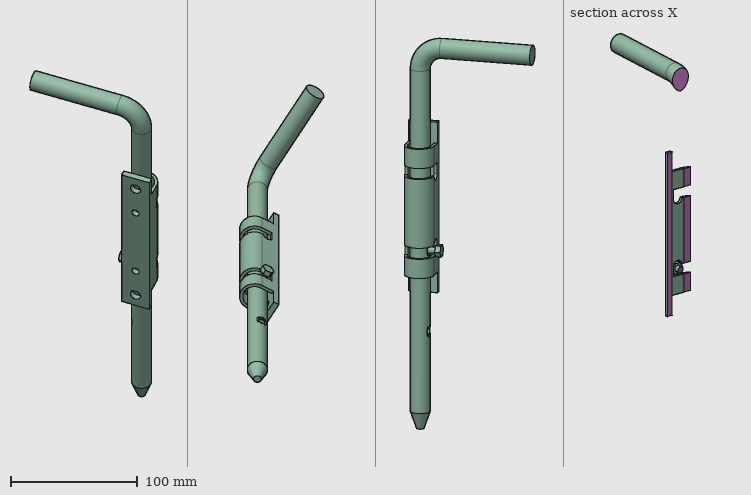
import cadquery as cq
import math


rod_diameter = 16.0
rod_radius = rod_diameter / 2
rod_height = 320.0
handle_end_x = -92.0
bend_radius = 18.0
tip_diameter = 6.0
tip_length = 14.0

screw_diameter = 5.5
spotface_diameter = 9.0
spotface_depth = 1.3
screw_hole_depth = 8.0
screw_z = 146.2
spare_hole_z = 80.0

bracket_width = 23.7
bracket_center_z = 179.2
plate_thickness = 4.8
plate_length = 139.5
plate_front_y = -rod_radius
plate_back_y = plate_front_y - plate_thickness
bracket_depth = 27.2
sleeve_length = 105.5
sleeve_wall = 2.5
arch_radius = bracket_width / 2
arch_center_y = plate_back_y + bracket_depth - arch_radius

mount_hole_diameter = 8.5
mount_hole_spacing = 116.8
small_hole_diameter = 6.0
small_hole_spacing = 64.0

slot_width = 9.0
slot_end_diameter = 8.0
slot_offset = 32.5
slot_center_y = -2.5

head_across_flats = 9.0
head_length = 4.5
head_inner_x = -13.0


def box(x_range, y_range, z_range):
    """Box between the given pairs of coordinates."""
    size = [b - a for a, b in (x_range, y_range, z_range)]
    return cq.Workplane("XY").box(*size, centered=False).translate((x_range[0], y_range[0], z_range[0]))


def x_cylinder(diameter, x_start, x_end, y, z):
    """Cylinder along X."""
    plane = cq.Workplane("YZ", origin=(x_start, y, z))
    return plane.circle(diameter / 2).extrude(x_end - x_start)


def make_rod():
    """Bent rod with a conical tip and two spotfaced blind holes."""
    handle_z = rod_height - rod_radius
    bend_start_z = handle_z - bend_radius
    bend_mid = bend_radius * math.sqrt(0.5)
    path = (
        cq.Workplane("XZ")
        .moveTo(0, tip_length)
        .lineTo(0, bend_start_z)
        .threePointArc((bend_mid - bend_radius, bend_start_z + bend_mid), (-bend_radius, handle_z))
        .lineTo(handle_end_x, handle_z)
    )
    rod = cq.Workplane("XY", origin=(0, 0, tip_length)).circle(rod_radius).sweep(path)
    tip = (
        cq.Workplane("XZ")
        .polyline([(0, 0), (tip_diameter / 2, 0), (rod_radius, tip_length), (0, tip_length)])
        .close()
        .revolve(360, (0, 0, 0), (0, 1, 0))
    )
    rod = rod.union(tip)
    for z in (screw_z, spare_hole_z):
        rod = rod.cut(x_cylinder(spotface_diameter, -rod_radius, spotface_depth - rod_radius, 0, z))
        rod = rod.cut(x_cylinder(screw_diameter, -rod_radius, screw_hole_depth - rod_radius, 0, z))
    return rod


def arch(radius, length):
    """Solid with straight sides rising from the plate to a half-round top."""
    return (
        cq.Workplane("XY", origin=(0, 0, bracket_center_z - length / 2))
        .moveTo(-radius, plate_front_y)
        .lineTo(-radius, arch_center_y)
        .threePointArc((0, arch_center_y + radius), (radius, arch_center_y))
        .lineTo(radius, plate_front_y)
        .close()
        .extrude(length)
    )


def bayonet_slot(side):
    """Cross slot over the arch, running down the -X wall to a rounded inner end."""
    z = bracket_center_z + side * slot_offset
    half_slot = slot_width / 2
    z_range = (z - half_slot, z + half_slot)
    sleeve_top_y = arch_center_y + arch_radius
    over_top = box((-arch_radius, arch_radius), (arch_center_y, sleeve_top_y), z_range)
    down_wall = box((-arch_radius, 0), (slot_center_y - slot_end_diameter / 2, arch_center_y), z_range)
    rounded_end = x_cylinder(slot_end_diameter, -arch_radius, 0, slot_center_y, z - side * half_slot)
    return over_top.union(down_wall).union(rounded_end)


def make_bracket():
    """Back plate and slotted sleeve in one piece."""
    sleeve = arch(arch_radius, sleeve_length).cut(arch(arch_radius - sleeve_wall, sleeve_length))
    for side in (-1, 1):
        sleeve = sleeve.cut(bayonet_slot(side))

    half_width = bracket_width / 2
    half_length = plate_length / 2
    plate = box(
        (-half_width, half_width),
        (plate_back_y, plate_front_y),
        (bracket_center_z - half_length, bracket_center_z + half_length),
    )
    hole_sets = (
        (mount_hole_diameter, mount_hole_spacing),
        (small_hole_diameter, small_hole_spacing),
    )
    for diameter, spacing in hole_sets:
        holes = (
            cq.Workplane("XZ", origin=(0, plate_front_y, bracket_center_z))
            .pushPoints([(0, -spacing / 2), (0, spacing / 2)])
            .circle(diameter / 2)
            .extrude(plate_thickness)
        )
        plate = plate.cut(holes)
    return plate.union(sleeve)


def make_screw():
    """Hexagon-head screw seated in the upper rod hole."""
    across_corners = head_across_flats / math.cos(math.pi / 6)
    head = (
        cq.Workplane("YZ", origin=(head_inner_x - head_length, 0, screw_z))
        .polygon(6, across_corners)
        .extrude(head_length)
    )
    shank = x_cylinder(screw_diameter, head_inner_x, screw_hole_depth - rod_radius, 0, screw_z)
    return head.union(shank)


rod = make_rod()
bracket = make_bracket()
screw = make_screw()

result = cq.Compound.makeCompound([rod.val(), bracket.val(), screw.val()])